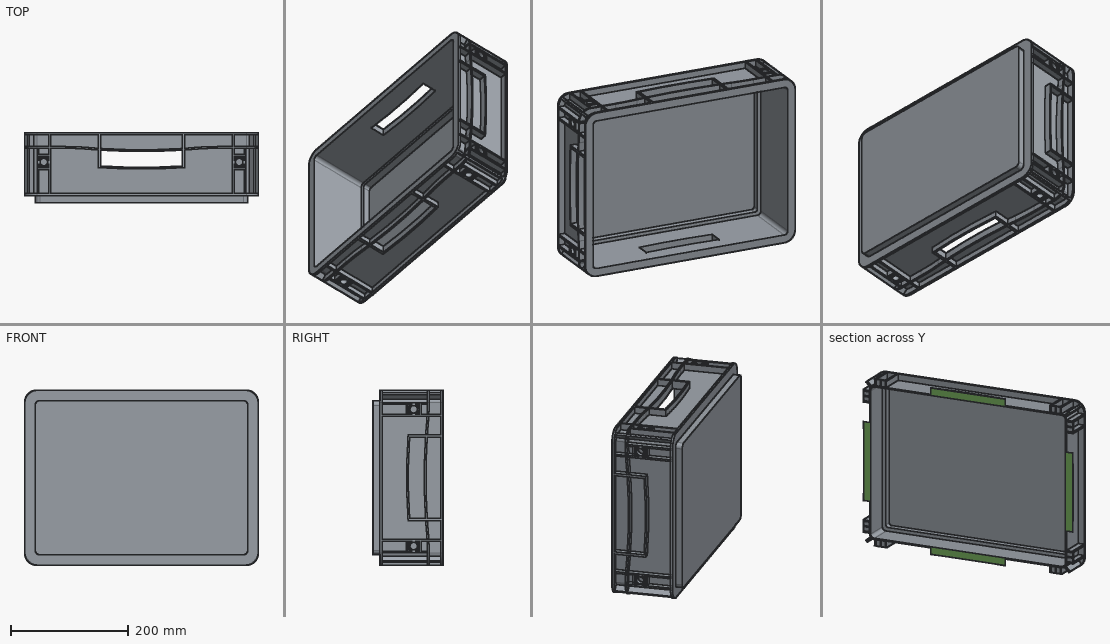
import cadquery as cq
import math

LENGTH = 399.0
HEIGHT = 299.0
DEPTH = 120.0
FOOT_DEPTH = 12.0
RIM_Y = DEPTH / 2
BODY_Y = -DEPTH / 2 + FOOT_DEPTH
BODY_DEPTH = RIM_Y - BODY_Y
FOOT_Y = -DEPTH / 2

CORNER_RADIUS = 21.0
RIB_DEPTH = 11.4
WALL = 3.0
FLANGE = 4.0
FOOT_INSET = 18.0
FOOT_RADIUS = 8.0
FLOOR = 3.0

RIB = 3.0
HANDLE_RIB = 4.2
CORNER_RIB_INSET = 21.2
POST_INSET = 41.3
DIAGONAL_RIB = 4.0

SHELF_Y = RIM_Y - 23.8
BOW_RADIUS = 1050.0
BOW_HALF = 90.0
BLEND_HALF = 131.0

HANDLE_HALF = 73.5
HANDLE_DROP = 33.0

SOCKET_Y = RIM_Y - 50.3
SOCKET_CELL = 19.8
SOCKET_BORE = 13.0
SOCKET_OUTER = 18.4
SOCKET_WEB = 2.0


def rounded_block(inset, radius, y_from, y_to):
    """Block along Y whose outline is the box outline moved in by `inset`."""
    return (
        cq.Workplane("XZ", origin=(0, y_from, 0))
        .rect(LENGTH - 2 * inset, HEIGHT - 2 * inset)
        .extrude(y_from - y_to)
        .edges("|Y")
        .fillet(radius)
    )


def bow_drop(u):
    """Distance by which the bow rises towards the rim at `u` from its middle."""
    return BOW_RADIUS - math.sqrt(BOW_RADIUS**2 - u**2)


BOW_ANGLE = math.asin(BOW_HALF / BOW_RADIUS)
BLEND_RADIUS = (BLEND_HALF - BOW_HALF) / math.sin(BOW_ANGLE)
BLEND_DROP = BLEND_RADIUS * (1 - math.cos(BOW_ANGLE))
BLEND_MID_U = BLEND_HALF - BLEND_RADIUS * math.sin(BOW_ANGLE / 2)
BLEND_MID_DROP = BLEND_RADIUS * (1 - math.cos(BOW_ANGLE / 2))
BOW_Y = SHELF_Y - BLEND_DROP - bow_drop(BOW_HALF)


def prism(profile, z_from, z_to):
    """Extrude a closed XY profile between two Z levels."""
    return profile.extrude(z_to - z_from).translate((0, 0, z_from))


def bar(u_from, u_to, y_from, y_to, z_from, z_to):
    """Rectangular bar given by its limits."""
    centre = ((u_from + u_to) / 2, (y_from + y_to) / 2)
    profile = cq.Workplane("XY").center(*centre).rect(u_to - u_from, y_to - y_from)
    return prism(profile, z_from, z_to)


def bowed_area(half, rim_side_y, base_side_y):
    """Area between two parallel bows, given by their Y at mid length."""
    end = bow_drop(half)
    return (
        cq.Workplane("XY")
        .moveTo(-half, rim_side_y + end)
        .threePointArc((0, rim_side_y), (half, rim_side_y + end))
        .lineTo(half, base_side_y + end)
        .threePointArc((0, base_side_y), (-half, base_side_y + end))
        .close()
    )


def shelf_blend(z_from, z_to):
    """Shelf rib stretch between the bow and the straight end, on the +u side."""
    profile = (
        cq.Workplane("XY")
        .moveTo(BOW_HALF, SHELF_Y - BLEND_DROP)
        .threePointArc((BLEND_MID_U, SHELF_Y - BLEND_MID_DROP), (BLEND_HALF, SHELF_Y))
        .lineTo(BLEND_HALF, SHELF_Y - RIB)
        .threePointArc(
            (BLEND_MID_U, SHELF_Y - RIB - BLEND_MID_DROP),
            (BOW_HALF, SHELF_Y - RIB - BLEND_DROP),
        )
        .close()
    )
    return prism(profile, z_from, z_to)


def end_ribs(half, z_from, z_to):
    """Post, corner rib, cross ribs and pin socket at the +u end of a side."""
    post_u = half - POST_INSET
    corner_u = half - CORNER_RIB_INSET
    cell_inner_u = corner_u - RIB
    ribs = bar(post_u - RIB, post_u, BODY_Y, RIM_Y, z_from, z_to)
    ribs = ribs.union(bar(cell_inner_u, corner_u, BODY_Y, SHELF_Y, z_from, z_to))
    for near_y in (SOCKET_Y - SOCKET_CELL / 2 - RIB, SOCKET_Y + SOCKET_CELL / 2):
        ribs = ribs.union(bar(post_u, cell_inner_u, near_y, near_y + RIB, z_from, z_to))
    cell_y = SOCKET_Y - SOCKET_CELL / 2
    cell = bar(post_u, cell_inner_u, cell_y, cell_y + SOCKET_CELL, z_from, z_to)
    socket_u = (post_u + cell_inner_u) / 2
    socket_axis = cq.Workplane("XY").center(socket_u, SOCKET_Y)
    tube = prism(socket_axis.circle(SOCKET_OUTER / 2), z_from, z_to)
    bore = prism(socket_axis.circle(SOCKET_BORE / 2), z_from, z_to)
    web_u = socket_u - SOCKET_WEB / 2
    web = bar(web_u, web_u + SOCKET_WEB, cell_y, cell_y + SOCKET_CELL, z_from, z_to)
    return ribs.union(tube.union(web).intersect(cell)).cut(bore)


def handle_frame(z_from, z_to):
    """Handle uprights, which run on to the rim flange, and the lower bowed rib."""
    lower_y = BOW_Y - HANDLE_DROP
    inner_half = HANDLE_HALF - HANDLE_RIB
    outline = prism(bowed_area(HANDLE_HALF, RIM_Y, lower_y), z_from, z_to)
    inside = prism(bowed_area(inner_half, RIM_Y, lower_y + RIB), z_from, z_to)
    return outline.cut(inside)


def side_ribs(half, reach):
    """All ribs of one side, laid out on the +Z side with its outer face at `reach`."""
    z_from = reach - RIB_DEPTH - WALL
    half_ribs = bar(BLEND_HALF, half, SHELF_Y - RIB, SHELF_Y, z_from, reach)
    half_ribs = half_ribs.union(shelf_blend(z_from, reach))
    half_ribs = half_ribs.union(end_ribs(half, z_from, reach))
    bow = prism(bowed_area(BOW_HALF, BOW_Y, BOW_Y - RIB), z_from, reach)
    ribs = half_ribs.union(half_ribs.mirror("YZ")).union(bow)
    return ribs.union(handle_frame(z_from, reach))


def diagonal_rib(side_x, side_z):
    """Rib from the rounded wall corner out to the rounded box corner."""
    length = 2 * CORNER_RADIUS
    return (
        cq.Workplane("XY")
        .box(length, BODY_DEPTH, DIAGONAL_RIB, centered=(False, True, True))
        .rotate((0, 0, 0), (0, 1, 0), -math.degrees(math.atan2(side_z, side_x)))
        .translate((
            side_x * (LENGTH / 2 - CORNER_RADIUS),
            (RIM_Y + BODY_Y) / 2,
            side_z * (HEIGHT / 2 - CORNER_RADIUS),
        ))
    )


def body():
    """Side walls, the two flanges and all ribs, trimmed to the rounded outline."""
    shape = rounded_block(RIB_DEPTH, CORNER_RADIUS - RIB_DEPTH, BODY_Y, RIM_Y)
    for flange_y in (BODY_Y, RIM_Y - FLANGE):
        shape = shape.union(rounded_block(0, CORNER_RADIUS, flange_y, flange_y + FLANGE))
    long_side = side_ribs(LENGTH / 2, HEIGHT / 2)
    short_side = side_ribs(HEIGHT / 2, LENGTH / 2).rotate((0, 0, 0), (0, 1, 0), 90)
    for ribs in (long_side, short_side):
        shape = shape.union(ribs)
        shape = shape.union(ribs.rotate((0, 0, 0), (0, 1, 0), 180))
    for side_x in (-1, 1):
        for side_z in (-1, 1):
            shape = shape.union(diagonal_rib(side_x, side_z))
    return shape.intersect(rounded_block(0, CORNER_RADIUS, BODY_Y, RIM_Y))


def cavity():
    """Inside of the box, open at the rim and stepped in at the foot."""
    wall_inset = RIB_DEPTH + WALL
    upper = rounded_block(wall_inset, CORNER_RADIUS - wall_inset, BODY_Y + FLANGE, RIM_Y)
    foot_inset = FOOT_INSET + WALL
    lower = rounded_block(foot_inset, FOOT_RADIUS - WALL, FOOT_Y + FLOOR, RIM_Y)
    return upper.union(lower)


def hand_windows():
    """Openings through the two long sides, inside the handle frames."""
    top_y = BOW_Y - RIB
    bottom_y = BOW_Y - HANDLE_DROP + RIB
    opening = bowed_area(HANDLE_HALF - HANDLE_RIB, top_y, bottom_y)
    return prism(opening, -HEIGHT / 2, HEIGHT / 2)


foot = rounded_block(FOOT_INSET, FOOT_RADIUS, FOOT_Y, BODY_Y)
result = body().union(foot).cut(cavity()).cut(hand_windows())